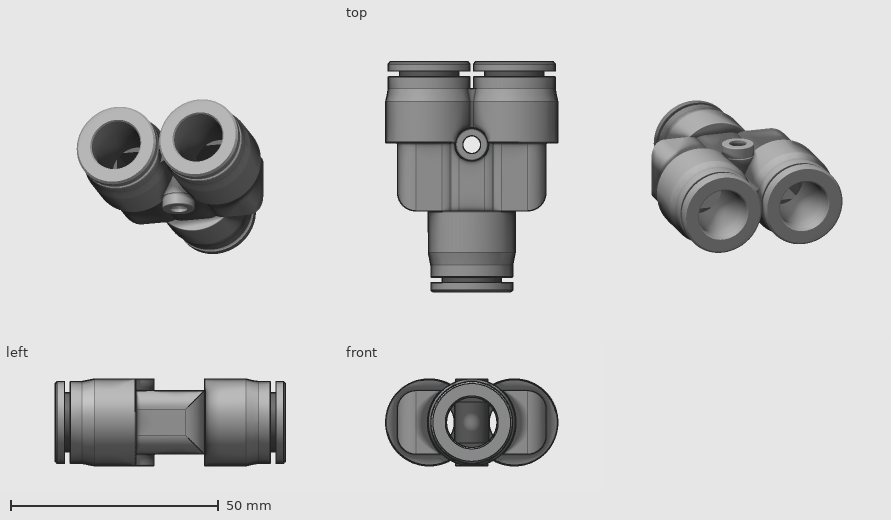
import cadquery as cq
import math

length = 55.5
socket_offset = 10.25
socket_radius = 10.5
socket_length = 19.55
edge_radius = 0.2
arc_inset = edge_radius * (1 - math.sqrt(0.5))

ring_radius = 9.9
ring_length = 2.3
ring_chamfer = 0.5
neck_radius = 7.15
neck_end = 3.55
collar_chamfer = 0.15
collar_end = 6.5
cone_end = 9.55

bore_radius = 6.05
mouth_chamfer = 0.35

lobe_half = 7.65
lobe_corner = 4.55
body_half_width = socket_offset + lobe_half
body_start = socket_length
body_end = length - socket_length
body_overlap = 0.55
sunk_end = body_end + body_overlap

chamber_half_height = 4.95
wall = lobe_half - chamber_half_height
chamber_start = body_start + wall
chamber_half_width = body_half_width - wall

post_radius = 3.9
column_radius = post_radius + edge_radius
post_hole_radius = 2.1
post_y = 35.5

web_arc_height = 3.85

socket_axes = (-socket_offset, socket_offset)


def cylinder_y(radius, start, end, x=0):
    """Cylinder along Y between two Y positions."""
    return cq.Workplane("XZ", origin=(x, start, 0)).circle(radius).extrude(start - end)


def box_between(x_half, y_start, y_end, z_half):
    """Box centred on X and Z that spans two Y positions."""
    depth = y_end - y_start
    return cq.Workplane("XY").box(2 * x_half, depth, 2 * z_half).translate((0, y_start + depth / 2, 0))


def socket():
    """Stepped socket on the Y axis with its mouth at Y = 0."""
    return (
        cq.Workplane("XY")
        .lineTo(ring_radius - ring_chamfer, 0)
        .lineTo(ring_radius, ring_chamfer)
        .lineTo(ring_radius, ring_length)
        .lineTo(neck_radius, ring_length)
        .lineTo(neck_radius, neck_end)
        .lineTo(ring_radius - collar_chamfer, neck_end)
        .lineTo(ring_radius, neck_end + collar_chamfer)
        .lineTo(ring_radius, collar_end)
        .lineTo(socket_radius, cone_end)
        .lineTo(socket_radius, socket_length - edge_radius)
        .threePointArc(
            (socket_radius - arc_inset, socket_length - arc_inset),
            (socket_radius - edge_radius, socket_length),
        )
        .lineTo(0, socket_length)
        .close()
        .revolve(360, (0, 0, 0), (0, 1, 0))
    )


def left_outlet():
    """Socket turned round so that its mouth is at the +Y end, on the -X side."""
    return socket().rotate((0, 0, 0), (0, 0, 1), 180).translate((-socket_offset, length, 0))


def bore(x, mouth_y, end_y):
    """Tube bore with a chamfered mouth, to be cut away."""
    hole = cylinder_y(bore_radius, mouth_y, end_y, x)
    mouth_edge = cq.Workplane("XY").add(
        cq.Solid.makeCone(
            bore_radius + mouth_chamfer,
            bore_radius,
            mouth_chamfer,
            cq.Vector(x, mouth_y, 0),
            cq.Vector(0, math.copysign(1, end_y - mouth_y), 0),
        )
    )
    return hole.union(mouth_edge)


def lobe_block(x, start, end, growth=0):
    """Rounded square bar along Y, optionally grown outward on all sides."""
    half = lobe_half + growth
    bar = box_between(half, start, end, half)
    return bar.edges("|Y").fillet(lobe_corner + growth).translate((x, 0, 0))


def lobe_foot(x):
    """Concave rounding all round a lobe where it runs into the outlet shoulders."""
    backing_half = 2 * lobe_half
    foot_start = body_end - edge_radius
    backing = box_between(backing_half, body_end, sunk_end, backing_half).translate((x, 0, 0))
    flared = lobe_block(x, body_start, body_end).union(backing)
    flared = flared.faces("<Y[1]").edges("not(<X or >X or <Z or >Z)").fillet(edge_radius)
    return flared.intersect(lobe_block(x, foot_start, sunk_end, edge_radius))


def body():
    """Three merged lobes with the two outer corners at the inlet end rounded."""
    lobes = lobe_block(0, body_start, sunk_end)
    for x in socket_axes:
        lobes = lobes.union(lobe_block(x, body_start, sunk_end))
    groove_x = socket_offset / 2
    for x in (-groove_x, groove_x):
        groove = cq.selectors.BoxSelector(
            (x - edge_radius, body_start, -lobe_half), (x + edge_radius, sunk_end, lobe_half)
        )
        lobes = lobes.edges(groove).fillet(edge_radius)
    plan = box_between(body_half_width, body_start, sunk_end, lobe_half)
    lobes = lobes.intersect(plan.edges("|Z and <Y").fillet(lobe_corner))
    for x in socket_axes:
        lobes = lobes.union(lobe_foot(x))
    return lobes


def round_foot(radius):
    """Disc around the Y axis that flares concavely from a round bar to a face at Y = 0."""
    return (
        cq.Workplane("XY")
        .lineTo(radius + edge_radius, 0)
        .threePointArc((radius + arc_inset, -arc_inset), (radius, -edge_radius))
        .lineTo(0, -edge_radius)
        .close()
        .revolve(360, (0, 0, 0), (0, 1, 0))
    )


def inlet_foot():
    """Rounding between the inlet socket and the flat end of the body."""
    foot = round_foot(socket_radius).translate((0, body_start, 0))
    return foot.intersect(box_between(body_half_width, 0, body_start, lobe_half))


def post():
    """Vertical post as tall as the sockets, with rounded ends and a thicker column inside the body."""
    shape = cq.Workplane("XY").circle(post_radius).extrude(socket_radius, both=True)
    shape = shape.edges().fillet(edge_radius)
    shape = shape.union(cq.Workplane("XY").circle(column_radius).extrude(lobe_half, both=True))
    for turn in (-90, 90):
        foot = round_foot(post_radius).rotate((0, 0, 0), (1, 0, 0), turn)
        shape = shape.union(foot.translate((0, 0, math.copysign(lobe_half, -turn))))
    return shape.translate((0, post_y, 0))


def web_section(outlet_radius, y):
    """Section of the web, with arcs tangent to both outlets at one Y position."""
    centre_distance = math.hypot(socket_offset, web_arc_height)
    tangent_share = outlet_radius / centre_distance
    tangent_x = socket_offset * (1 - tangent_share)
    tangent_z = web_arc_height * tangent_share
    middle_z = web_arc_height - (centre_distance - outlet_radius)
    return (
        cq.Workplane("XZ", origin=(0, y, 0))
        .moveTo(-tangent_x, tangent_z)
        .threePointArc((0, middle_z), (tangent_x, tangent_z))
        .lineTo(tangent_x, -tangent_z)
        .threePointArc((0, -middle_z), (-tangent_x, -tangent_z))
        .close()
    )


def web():
    """Web along the straight part of the outlets, widening along their cones."""
    cone_y = length - cone_end
    tip_y = length - collar_end
    straight = web_section(socket_radius, cone_y).extrude(cone_y - body_end)
    base_wire = web_section(socket_radius, cone_y).wires().val()
    tip_wire = web_section(ring_radius, tip_y).wires().val()
    return straight.union(cq.Workplane("XY").add(cq.Solid.makeLoft([base_wire, tip_wire], True)))


shell = body().union(socket()).union(inlet_foot())
shell = shell.union(left_outlet()).union(left_outlet().mirror("YZ"))
shell = shell.union(web())

shell = shell.cut(box_between(chamber_half_width, chamber_start, body_end, chamber_half_height))
shell = shell.cut(bore(0, 0, chamber_start))
for axis_x in socket_axes:
    shell = shell.cut(bore(axis_x, length, body_end))

post_hole = cq.Workplane("XY").circle(post_hole_radius).extrude(socket_radius, both=True)
result = shell.union(post()).cut(post_hole.translate((0, post_y, 0)))